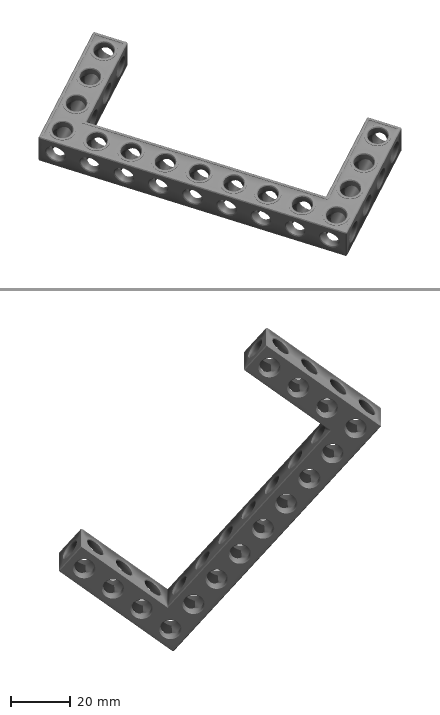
import cadquery as cq

length = 112.5
holes_along_base = 9
holes_along_arm = 4
hole_diameter = 7.0
edge_chamfer = 0.3

pocket_depth = 0.2
border_width = 1.1
ring_diameter = 9.2

cell = length / holes_along_base
depth = holes_along_arm * cell
height = cell

column_x = [(i + 0.5) * cell - length / 2 for i in range(holes_along_base)]
row_y = [(j + 0.5) * cell - depth / 2 for j in range(holes_along_arm)]

base_points = [(x, row_y[0]) for x in column_x]
arm_points = [(x, y) for x in (column_x[0], column_x[-1]) for y in row_y[1:]]
z_points = base_points + arm_points
y_points = [(x, 0) for x in column_x]
x_points = [(y, 0) for y in row_y]


def u_solid(inset, bottom, tall):
    """U-shaped solid, open toward +Y, with its outline shrunk by inset."""
    outer_x = length / 2 - inset
    outer_y = depth / 2 - inset
    inner_x = length / 2 - cell + inset
    inner_y = cell - depth / 2 - inset
    outline = [
        (-outer_x, -outer_y),
        (outer_x, -outer_y),
        (outer_x, outer_y),
        (inner_x, outer_y),
        (inner_x, inner_y),
        (-inner_x, inner_y),
        (-inner_x, outer_y),
        (-outer_x, outer_y),
    ]
    return cq.Workplane("XY", origin=(0, 0, bottom)).polyline(outline).close().extrude(tall)


def cylinders(plane, points, diameter, start, end):
    """Cylinders normal to a named plane, from offset start to offset end."""
    base = cq.Workplane(plane).workplane(offset=start)
    return base.pushPoints(points).circle(diameter / 2).extrude(end - start)


def rim_cones(plane, points, offset, direction):
    """Cones that chamfer hole rims; direction is +1 or -1 along the normal, into the part."""
    hole_radius = hole_diameter / 2
    cone = cq.Solid.makeCone(hole_radius + edge_chamfer, hole_radius, edge_chamfer)
    if direction < 0:
        cone = cone.mirror("XY")
    base = cq.Workplane(plane).workplane(offset=offset)
    centers = base.pushPoints(points)
    return centers.eachpoint(lambda spot: cone.moved(spot), useLocalCoordinates=True)


frame = u_solid(0, -height / 2, height)
concave_corners = cq.selectors.BoxSelector(
    (column_x[0], row_y[0], -height / 4),
    (column_x[-1], row_y[-1], height / 4),
)
frame = frame.edges(cq.selectors.InverseSelector(concave_corners)).chamfer(edge_chamfer)

pocket_floor = height / 2 - pocket_depth
pocket = u_solid(border_width, pocket_floor, pocket_depth)
rings = cylinders("XY", z_points, ring_diameter, pocket_floor, height / 2)
frame = frame.cut(pocket.cut(rings))

for plane, points, half_extent in (
    ("XY", z_points, height / 2),
    ("XZ", y_points, depth / 2),
    ("YZ", x_points, length / 2),
):
    frame = frame.cut(cylinders(plane, points, hole_diameter, -half_extent, half_extent))
    frame = frame.cut(rim_cones(plane, points, -half_extent, 1))
    frame = frame.cut(rim_cones(plane, points, half_extent, -1))

arm_wall = length / 2 - cell
base_wall = depth / 2 - cell
frame = frame.cut(rim_cones("YZ", x_points[1:], arm_wall, 1))
frame = frame.cut(rim_cones("YZ", x_points[1:], -arm_wall, -1))
frame = frame.cut(rim_cones("XZ", y_points[1:-1], base_wall, 1))

result = frame.solids()